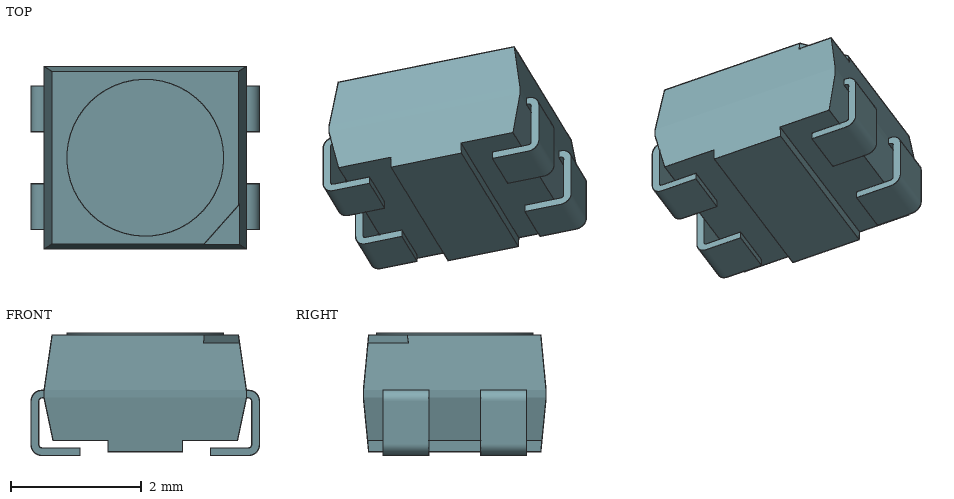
import cadquery as cq

belt_length = 3.1
belt_width = 2.8
belt_bottom = 0.882
belt_top = 1.0
cap_length = 2.855
cap_width = 2.64
cap_top = 1.848
pedestal_bottom = 0.055
pedestal_length = 1.14
base_bottom = 0.23
base_length = 2.828
base_width = 2.64

lens_radius = 1.2
lens_top = 1.88

mark_depth = 0.122
mark_start_x = 0.903
mark_end_y = -0.728

lead_span = 3.5
lead_width = 0.705
lead_offset_y = 0.75
lead_thickness = 0.12
lead_upright_thickness = 0.122
bend_outer_radius = 0.168
bend_inner_radius = 0.05
foot_tip_x = 0.998


def tapered_block(z_start, start_size, z_end, end_size):
    """Rectangular frustum centred on the Z axis."""
    return (
        cq.Workplane("XY", origin=(0, 0, z_start))
        .rect(*start_size)
        .workplane(offset=z_end - z_start)
        .rect(*end_size)
        .loft(ruled=True)
    )


def centred_box(length, width, z_bottom, z_top):
    return (
        cq.Workplane("XY", origin=(0, 0, z_bottom))
        .rect(length, width)
        .extrude(z_top - z_bottom)
    )


def make_base():
    """Tapered base whose middle continues down as a pedestal."""
    taper_slope = (belt_length - base_length) / (belt_bottom - base_bottom)
    lowest_length = belt_length - taper_slope * (belt_bottom - pedestal_bottom)
    base = tapered_block(
        pedestal_bottom, (lowest_length, base_width), belt_bottom, (belt_length, belt_width)
    )
    shoulders = centred_box(belt_length, belt_width, pedestal_bottom, base_bottom).cut(
        centred_box(pedestal_length, belt_width, pedestal_bottom, base_bottom)
    )
    return base.cut(shoulders)


def make_corner_mark():
    """Triangular prism with its diagonal extended past the tapered sides."""
    edge_x = cap_length / 2
    edge_y = -cap_width / 2
    slope = (mark_end_y - edge_y) / (edge_x - mark_start_x)
    outer_x = belt_length / 2
    outer_y = -belt_width / 2
    return (
        cq.Workplane("XY", origin=(0, 0, cap_top - mark_depth))
        .moveTo(mark_start_x + (outer_y - edge_y) / slope, outer_y)
        .lineTo(outer_x, outer_y)
        .lineTo(outer_x, mark_end_y + (outer_x - edge_x) * slope)
        .close()
        .extrude(mark_depth)
    )


def make_lead_pair():
    """Left and right leads joined through the belt, as one folded strip."""
    outer = (
        centred_box(lead_span, lead_width, 0, belt_top)
        .edges("|Y")
        .fillet(bend_outer_radius)
    )
    inner_length = lead_span - 2 * lead_upright_thickness
    inner = (
        centred_box(inner_length, lead_width, lead_thickness, belt_top - lead_thickness)
        .edges("|Y")
        .fillet(bend_inner_radius)
    )
    foot_gap = centred_box(2 * foot_tip_x, lead_width, 0, lead_thickness)
    return outer.cut(inner).cut(foot_gap)


belt = centred_box(belt_length, belt_width, belt_bottom, belt_top)
cap = tapered_block(belt_top, (belt_length, belt_width), cap_top, (cap_length, cap_width))
lens = cq.Workplane("XY", origin=(0, 0, cap_top)).circle(lens_radius).extrude(lens_top - cap_top)

result = belt.union(cap.cut(make_corner_mark())).union(make_base()).union(lens)
for side in (-1, 1):
    result = result.union(make_lead_pair().translate((0, side * lead_offset_y, 0)))